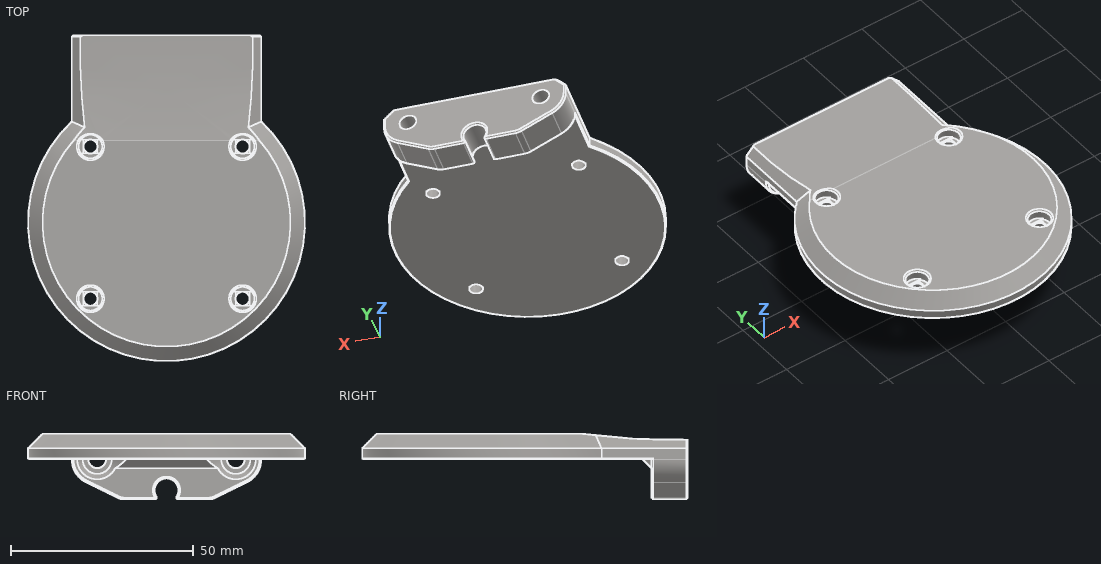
import cadquery as cq
import math

DISC_RADIUS = 38.0
PLATE_THICKNESS = 7.0
RIM_HEIGHT = 3.0
BEVEL = PLATE_THICKNESS - RIM_HEIGHT
UNDERSIDE_CHAMFER = 0.3
EDGE_CHAMFER = 0.5

ARM_WIDTH = 52.0
ARM_END_Y = 51.4
SLOPE_START_Y = 22.6
SLOPE_MIDDLE_Y = 35.2
SLOPE_MIDDLE_Z = 5.72
ARM_END_Z = 5.4

BOLT_CIRCLE_DIAMETER = 59.0
BOLT_OFFSET = BOLT_CIRCLE_DIAMETER / 2 * math.sin(math.radians(45))
BOLT_HOLE_DIAMETER = 3.8
BOLT_HEAD_DIAMETER = 6.5
BOLT_HEAD_DEPTH = 3.0
BOLT_HEAD_CHAMFER = 0.5
BRIDGE_STEP = 0.3

FLANGE_THICKNESS = 10.0
FLANGE_DEPTH = 11.0
FLANGE_FRONT_Y = ARM_END_Y - FLANGE_THICKNESS
FLANGE_OVERLAP = 1.0
EAR_X = 19.0
EAR_RADIUS = ARM_WIDTH / 2 - EAR_X
FLANGE_CORNER_X = 12.5
FLANGE_CORNER_RADIUS = 4.0

EAR_HOLE_DIAMETER = 4.8
EAR_HEAD_DIAMETER = 8.0
EAR_HEAD_DEPTH = 1.5

GUSSET_SIZE = 2.5

NOTCH_DIAMETER = 6.5
NOTCH_CENTER_Z = -8.5
NOTCH_LIP_RADIUS = 0.55


def make_plate():
    """Bevelled disc and arm, with the rear part of the top sloping down."""
    disc = cq.Workplane("XY").circle(DISC_RADIUS).extrude(PLATE_THICKNESS)
    disc = disc.faces(">Z").chamfer(BEVEL)

    arm = cq.Workplane("XY").box(ARM_WIDTH, ARM_END_Y, PLATE_THICKNESS, centered=(True, False, False))
    arm = arm.faces(">Z").edges("|Y").chamfer(BEVEL)
    rear_side_edges = arm.faces(">Y").edges("not #Z")
    arm = rear_side_edges.chamfer(EDGE_CHAMFER)

    plate = disc.union(arm)
    underside_edges = plate.faces("<Z").edges("not >Y")
    plate = underside_edges.chamfer(UNDERSIDE_CHAMFER)

    above_slope = (
        cq.Workplane("YZ", origin=(-DISC_RADIUS, 0, 0))
        .moveTo(SLOPE_START_Y, PLATE_THICKNESS)
        .spline([(SLOPE_MIDDLE_Y, SLOPE_MIDDLE_Z), (ARM_END_Y, ARM_END_Z)], includeCurrent=True)
        .lineTo(ARM_END_Y, PLATE_THICKNESS)
        .close()
        .extrude(2 * DISC_RADIUS)
    )
    return plate.cut(above_slope)


def cut_bolt_holes(body):
    """Counterbored holes whose floor steps from a slot to a square to the round hole."""
    head_floor = PLATE_THICKNESS - BOLT_HEAD_DEPTH
    head_radius = BOLT_HEAD_DIAMETER / 2
    mouth_radius = head_radius + BOLT_HEAD_CHAMFER
    hole = cq.Workplane("XY").circle(BOLT_HOLE_DIAMETER / 2).extrude(PLATE_THICKNESS)
    head = cq.Workplane("XY", origin=(0, 0, head_floor)).circle(head_radius).extrude(BOLT_HEAD_DEPTH)
    mouth = cq.Workplane("XY").add(
        cq.Solid.makeCone(
            head_radius,
            mouth_radius,
            BOLT_HEAD_CHAMFER,
            pnt=cq.Vector(0, 0, PLATE_THICKNESS - BOLT_HEAD_CHAMFER),
        )
    )
    slot = (
        cq.Workplane("XY", origin=(0, 0, head_floor - BRIDGE_STEP))
        .rect(BOLT_HEAD_DIAMETER, BOLT_HOLE_DIAMETER)
        .extrude(BRIDGE_STEP)
        .intersect(cq.Workplane("XY").circle(head_radius).extrude(PLATE_THICKNESS))
    )
    square = (
        cq.Workplane("XY", origin=(0, 0, head_floor - 2 * BRIDGE_STEP))
        .rect(BOLT_HOLE_DIAMETER, BOLT_HOLE_DIAMETER)
        .extrude(BRIDGE_STEP)
    )
    cutter = hole.union(head).union(mouth).union(slot).union(square)
    for x in (-BOLT_OFFSET, BOLT_OFFSET):
        for y in (-BOLT_OFFSET, BOLT_OFFSET):
            body = body.cut(cutter.translate((x, y, 0)))
    return body


def make_flange():
    """Eared flange with its notch, chamfered front and rear, plus the gusset."""
    corner_dx = FLANGE_CORNER_X - EAR_X
    corner_distance = math.hypot(corner_dx, FLANGE_DEPTH)
    corner_angle = math.atan2(-FLANGE_DEPTH, corner_dx)
    tangent_angle = corner_angle + math.acos(EAR_RADIUS / corner_distance)
    tangent_x = EAR_X + EAR_RADIUS * math.cos(tangent_angle)
    tangent_z = EAR_RADIUS * math.sin(tangent_angle)
    middle_x = EAR_X + EAR_RADIUS * math.cos(tangent_angle / 2)
    middle_z = EAR_RADIUS * math.sin(tangent_angle / 2)
    half_width = ARM_WIDTH / 2

    rear_plane = cq.Workplane("XZ", origin=(0, ARM_END_Y, 0))
    flange = (
        rear_plane
        .moveTo(-half_width, FLANGE_OVERLAP)
        .lineTo(half_width, FLANGE_OVERLAP)
        .lineTo(half_width, 0)
        .threePointArc((middle_x, middle_z), (tangent_x, tangent_z))
        .lineTo(FLANGE_CORNER_X, -FLANGE_DEPTH)
        .lineTo(-FLANGE_CORNER_X, -FLANGE_DEPTH)
        .lineTo(-tangent_x, tangent_z)
        .threePointArc((-middle_x, middle_z), (-half_width, 0))
        .close()
        .extrude(FLANGE_THICKNESS)
    )
    corner_edges = flange.edges("|Y").edges("<Z")
    flange = corner_edges.fillet(FLANGE_CORNER_RADIUS)

    notch = rear_plane.center(0, NOTCH_CENTER_Z).circle(NOTCH_DIAMETER / 2).extrude(FLANGE_THICKNESS)
    flange = flange.cut(notch)
    lip_box = cq.selectors.BoxSelector(
        (-NOTCH_DIAMETER / 2, FLANGE_FRONT_Y, -FLANGE_DEPTH - NOTCH_LIP_RADIUS),
        (NOTCH_DIAMETER / 2, ARM_END_Y, -FLANGE_DEPTH + NOTCH_LIP_RADIUS),
    )
    flange = flange.edges("|Y").edges(lip_box).fillet(NOTCH_LIP_RADIUS)
    flange = flange.faces("<Y or >Y").edges().chamfer(EDGE_CHAMFER)

    gusset = (
        cq.Workplane("YZ")
        .moveTo(FLANGE_FRONT_Y, 0)
        .lineTo(FLANGE_FRONT_Y - GUSSET_SIZE, 0)
        .lineTo(FLANGE_FRONT_Y, -GUSSET_SIZE)
        .close()
        .extrude(EAR_X, both=True)
    )
    return flange.union(gusset)


def cut_head_cones(flange):
    """45 degree cones that open from the screw seats through the flange face and gusset."""
    seat_radius = EAR_HEAD_DIAMETER / 2
    cone_length = EAR_HEAD_DEPTH + GUSSET_SIZE
    for x in (-EAR_X, EAR_X):
        cone = cq.Solid.makeCone(
            seat_radius,
            seat_radius + cone_length,
            cone_length,
            pnt=cq.Vector(x, FLANGE_FRONT_Y + EAR_HEAD_DEPTH, 0),
            dir=cq.Vector(0, -1, 0),
        )
        flange = flange.cut(cq.Workplane("XY").add(cone))
    return flange


def cut_ear_holes(body):
    """Round screw holes and screw head seats along Y, centred on the arm's underside."""
    for x in (-EAR_X, EAR_X):
        hole_plane = cq.Workplane("XZ", origin=(x, ARM_END_Y, 0))
        seat_plane = cq.Workplane("XZ", origin=(x, FLANGE_FRONT_Y + EAR_HEAD_DEPTH, 0))
        body = body.cut(hole_plane.circle(EAR_HOLE_DIAMETER / 2).extrude(FLANGE_THICKNESS))
        body = body.cut(seat_plane.circle(EAR_HEAD_DIAMETER / 2).extrude(EAR_HEAD_DEPTH))
    return body


plate = cut_bolt_holes(make_plate())
flange = cut_head_cones(make_flange())
result = cut_ear_holes(plate.union(flange))